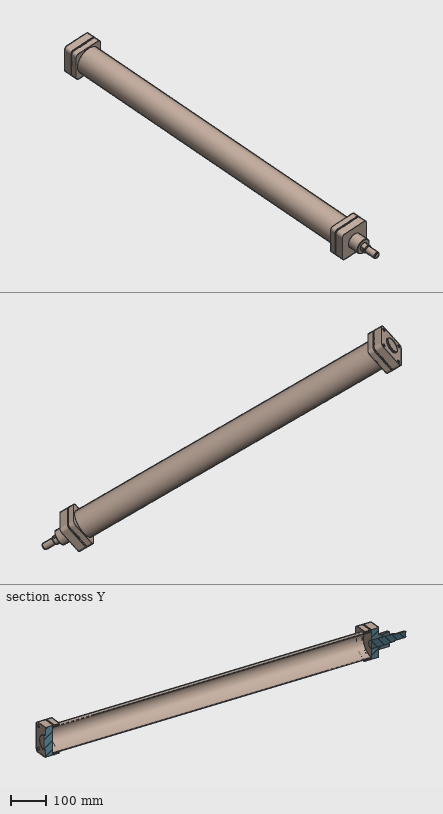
import cadquery as cq

total_length = 1216.0
boss_length = 5.0
cap_length = 25.0
flange_gap = 4.0
flange_length = 18.0
exposed_barrel_length = 1025.0
collar_length = 36.0
flats_length = 11.0
land_length = 7.0

end_width = 96.0
corner_radius = 11.0
barrel_diameter = 86.0
barrel_wall = 4.0
collar_diameter = 47.0
rod_diameter = 25.0
wrench_width = 22.0
thread_diameter = 21.0

collar_chamfer = 1.0
land_chamfer = 2.0
tip_chamfer = 2.0

hole_diameter = 9.0
hole_spacing = 72.0
hole_depth = 17.0

barrel_start = cap_length
rear_flange_start = barrel_start + flange_gap
rear_flange_end = rear_flange_start + flange_length
front_flange_start = rear_flange_end + exposed_barrel_length
barrel_end = front_flange_start + flange_length + flange_gap
front_face = barrel_end + cap_length
collar_end = front_face + collar_length
flats_end = collar_end + flats_length
shoulder = flats_end + land_length
rod_tip = total_length - boss_length


def section(x):
    """Workplane across the cylinder axis at station x, facing +X."""
    return cq.Workplane("YZ", origin=(x, 0, 0))


def disc(x, diameter, length):
    return section(x).circle(diameter / 2).extrude(length)


def end_block(x, length):
    """Square block with rounded corners, starting at station x."""
    return section(x).rect(end_width, end_width).extrude(length).edges("|X").fillet(corner_radius)


def make_rear_cap():
    """Rear block with its chamfered centring boss and four blind mounting holes."""
    boss = disc(-boss_length, collar_diameter, boss_length).faces("<X").chamfer(collar_chamfer)
    cap = end_block(0, cap_length).union(boss)
    holes = (
        section(0)
        .rect(hole_spacing, hole_spacing, forConstruction=True)
        .vertices()
        .circle(hole_diameter / 2)
        .extrude(hole_depth)
    )
    return cap.cut(holes)


def make_front_cap():
    """Front block with its chamfered rod collar, bored through for the rod."""
    collar = disc(front_face, collar_diameter, collar_length).faces(">X").chamfer(collar_chamfer)
    bore = disc(barrel_end, rod_diameter, cap_length + collar_length)
    return end_block(barrel_end, cap_length).union(collar).cut(bore)


def make_flange(x):
    """Square plate fitted round the barrel, a narrow gap away from the cap."""
    return end_block(x, flange_length).cut(disc(x, barrel_diameter, flange_length))


def make_barrel():
    """Plain round tube that passes through both flanges and butts against the caps."""
    bore_diameter = barrel_diameter - 2 * barrel_wall
    barrel_length = barrel_end - barrel_start
    return section(barrel_start).circle(barrel_diameter / 2).circle(bore_diameter / 2).extrude(barrel_length)


def make_rod():
    """Piston rod with two wrench flats facing +Y and -Y, and a thinner threaded end."""
    body = disc(barrel_end, rod_diameter, shoulder - barrel_end).faces(">X").chamfer(land_chamfer)
    thread = disc(shoulder, thread_diameter, rod_tip - shoulder).faces(">X").chamfer(tip_chamfer)
    outside_flats = (
        section(collar_end)
        .rect(2 * rod_diameter, 2 * rod_diameter)
        .rect(wrench_width, 2 * rod_diameter)
        .extrude(flats_length)
    )
    return body.cut(outside_flats).union(thread)


rear_cap = make_rear_cap()
barrel = make_barrel()
flanges = [make_flange(x) for x in (rear_flange_start, front_flange_start)]
front_cap = make_front_cap()
rod = make_rod()

bodies = [rear_cap, *flanges, barrel, front_cap, rod]
result = cq.Compound.makeCompound([body.val() for body in bodies])